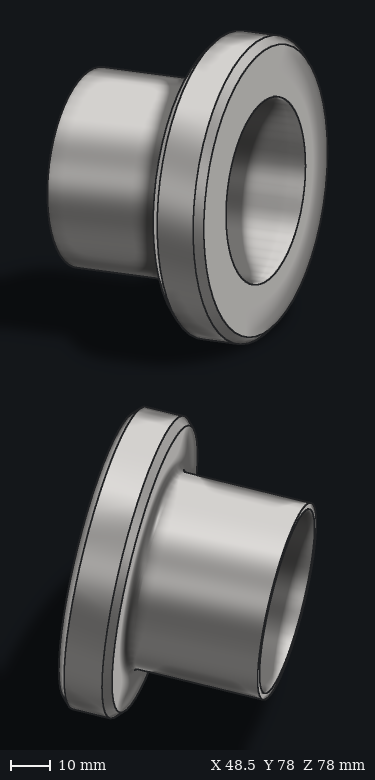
import cadquery as cq

total_length = 48.5
flange_diameter = 78.0
flange_thickness = 14.0
tube_diameter = 50.8
bore_diameter = 47.5
rim_chamfer = 2.0
root_fillet = 2.0

tube_length = total_length - flange_thickness


def disc(diameter, start, length):
    """Solid cylinder along +X, beginning at X = start."""
    return cq.Workplane("YZ", origin=(start, 0, 0)).circle(diameter / 2).extrude(length)


flange = disc(flange_diameter, tube_length, flange_thickness).edges().chamfer(rim_chamfer)

body = flange.union(disc(tube_diameter, 0, total_length - rim_chamfer))
root_edge = cq.selectors.BoxSelector(
    (tube_length - root_fillet, -tube_diameter, -tube_diameter),
    (tube_length + root_fillet, tube_diameter, tube_diameter),
    boundingbox=True,
)
root_circle = body.edges(root_edge).edges(cq.selectors.RadiusNthSelector(0))
body = root_circle.fillet(root_fillet)

result = body.cut(disc(bore_diameter, 0, total_length))